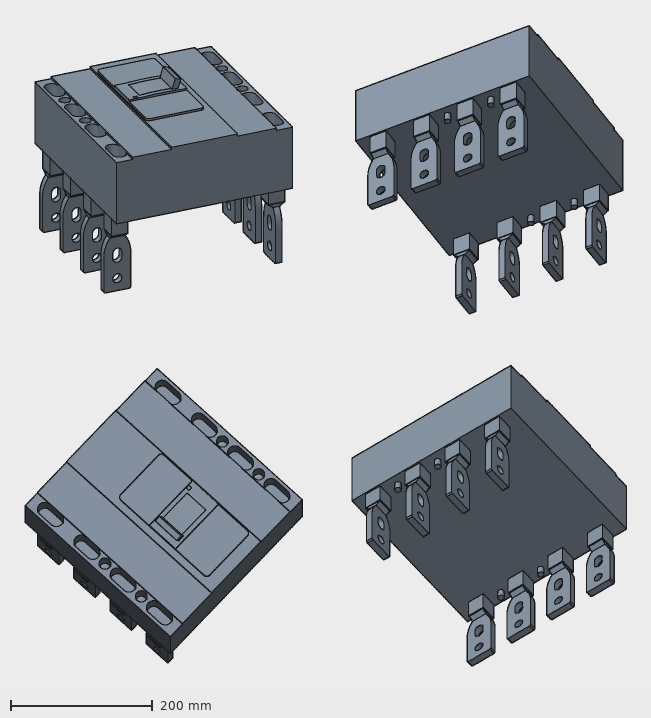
import cadquery as cq
import math


CASE_WIDTH = 280.0
CASE_DEPTH = 273.0
SHOULDER_Z = 96.5
TERRACE_STEP = 3.5
UPPER_TERRACE_DEPTH = 102.2
UPPER_TERRACE_Z = SHOULDER_Z + 2 * TERRACE_STEP

POLE_PITCH = 70.0
POLE_COUNT = 4
ROW_Y = 121.5
POLE_XS = [(i - (POLE_COUNT - 1) / 2) * POLE_PITCH for i in range(POLE_COUNT)]
SCREW_POINTS = [(x, y) for x in (-POLE_PITCH, 0.0) for y in (-ROW_Y, ROW_Y)]

WELL_LENGTH = 42.5
WELL_WIDTH = 20.2
WELL_FLOOR_DEPTH = 33.5

LOWER_TERRACE_DEPTH = 2 * ROW_Y - WELL_WIDTH

HEAD_DIAMETER = 16.5
HEAD_HEIGHT = 7.0
HEAD_ROUND = 5.3
SHANK_DIAMETER = 9.2
SCREW_TIP_Z = -13.0
SEAT_DEPTH = 33.5
SCREW_SEAT_Z = SHOULDER_Z - SEAT_DEPTH

PANEL_X = -POLE_PITCH / 2
PANEL_Y = -4.5
PANEL_WIDTH = 172.0
PANEL_DEPTH = 89.5
PANEL_CORNER = 6.0
PANEL_Z = UPPER_TERRACE_Z + TERRACE_STEP
STRIP_WIDTH = 50.5
STRIP_RISE = 2.8
STRIP_Z = PANEL_Z + STRIP_RISE
INDICATOR_SIZE = 5.3
INDICATOR_DEPTH = 0.5
INDICATOR_INSET = 1.0
INDICATOR_Y = -37.5

GUIDE_HALF_DEPTH = 31.5
CROWN_RISE = 1.0
BARREL_WIDTH = 36.0
BARREL_HALF_DEPTH = 30.2
BARREL_LIFT = 0.3

LEVER_TOP_Z = 126.0
LEVER_TOP_Y = 24.5
LEVER_WIDTH = 41.7
LEVER_THICKNESS = 9.0
LEVER_LEAN = 17.5
LEVER_LENGTH = 19.5

BLOCK_WIDTH = 26.0
BLOCK_DEPTH = 25.5
BLOCK_HEIGHT = 30.8
NECK_WIDTH = 23.8
NECK_COLLAR = 1.0
NECK_HEIGHT = 6.0
BLADE_WIDTH = 42.0
BLADE_THICKNESS = 10.0
BLADE_TIP_Z = -122.0
BLADE_SHOULDER_RADIUS = 49.3
BLADE_CHAMFER = 2.0
BLADE_HOLE_DIAMETER = 13.7
HOLE_ABOVE_TIP = 19.5
SLOT_ABOVE_TIP = 56.0
SLOT_LENGTH = 22.5


def box_on(width, depth, z_bottom, z_top, x=0.0, y=0.0):
    """Upright box centred on (x, y) between two heights."""
    return cq.Workplane("XY", origin=(x, y, z_bottom)).rect(width, depth).extrude(z_top - z_bottom)


def make_case_block():
    lower_terrace_z = SHOULDER_Z + TERRACE_STEP
    block = box_on(CASE_WIDTH, CASE_DEPTH, 0, SHOULDER_Z)
    wells = (
        cq.Workplane("XY", origin=(0, 0, SHOULDER_Z))
        .pushPoints([(x, y) for x in POLE_XS for y in (-ROW_Y, ROW_Y)])
        .slot2D(WELL_LENGTH, WELL_WIDTH)
        .extrude(-WELL_FLOOR_DEPTH)
    )
    lower_terrace = box_on(CASE_WIDTH, LOWER_TERRACE_DEPTH, SHOULDER_Z, lower_terrace_z)
    upper_terrace = box_on(CASE_WIDTH, UPPER_TERRACE_DEPTH, lower_terrace_z, UPPER_TERRACE_Z)
    return block.cut(wells).union(lower_terrace).union(upper_terrace)


def make_panel():
    panel = box_on(PANEL_WIDTH, PANEL_DEPTH, UPPER_TERRACE_Z, PANEL_Z, PANEL_X, PANEL_Y)
    panel = panel.edges("|Z").fillet(PANEL_CORNER)
    strip = box_on(STRIP_WIDTH, PANEL_DEPTH, UPPER_TERRACE_Z, STRIP_Z, PANEL_X, PANEL_Y)
    indicator_x = PANEL_X + STRIP_WIDTH / 2 - INDICATOR_INSET - INDICATOR_SIZE / 2
    indicator = box_on(
        INDICATOR_SIZE, INDICATOR_SIZE, STRIP_Z - INDICATOR_DEPTH, STRIP_Z, indicator_x, INDICATOR_Y
    )
    return panel.union(strip).cut(indicator)


def make_crown(width, half_depth, lift):
    """Gently arched bar across the strip, highest at Y = 0."""
    crest = CROWN_RISE + lift
    radius = (GUIDE_HALF_DEPTH**2 + CROWN_RISE**2) / (2 * CROWN_RISE)
    end_z = crest - radius + math.sqrt(radius**2 - half_depth**2)
    side = (
        cq.Workplane("YZ", origin=(PANEL_X - width / 2, 0, STRIP_Z))
        .moveTo(-half_depth, -STRIP_RISE)
        .lineTo(-half_depth, end_z)
        .threePointArc((0, crest), (half_depth, end_z))
        .lineTo(half_depth, -STRIP_RISE)
        .close()
    )
    return side.extrude(width)


def make_lever():
    lever = (
        cq.Workplane("XY")
        .box(LEVER_WIDTH, LEVER_THICKNESS, LEVER_LENGTH, centered=(True, False, False))
        .translate((PANEL_X, 0, -LEVER_LENGTH))
        .rotate((0, 0, 0), (1, 0, 0), -LEVER_LEAN)
    )
    return lever.translate((0, LEVER_TOP_Y, LEVER_TOP_Z))


def make_blade(top_z):
    """Contact blade lying in the XZ plane, rounded up to the neck and pierced twice."""
    half = BLADE_WIDTH / 2
    neck_half = NECK_WIDTH / 2
    radius = BLADE_SHOULDER_RADIUS
    arc_centre_x = half - radius
    arc_height = math.sqrt(radius**2 - (neck_half - arc_centre_x) ** 2)
    arc_start_z = top_z - arc_height
    mid_angle = math.asin(arc_height / radius) / 2
    mid_x = arc_centre_x + radius * math.cos(mid_angle)
    mid_z = arc_start_z + radius * math.sin(mid_angle)
    blade = (
        cq.Workplane("XZ", origin=(0, BLADE_THICKNESS / 2, 0))
        .moveTo(half - BLADE_CHAMFER, BLADE_TIP_Z)
        .lineTo(half, BLADE_TIP_Z + BLADE_CHAMFER)
        .lineTo(half, arc_start_z)
        .threePointArc((mid_x, mid_z), (neck_half, top_z))
        .lineTo(-neck_half, top_z)
        .threePointArc((-mid_x, mid_z), (-half, arc_start_z))
        .lineTo(-half, BLADE_TIP_Z + BLADE_CHAMFER)
        .lineTo(-half + BLADE_CHAMFER, BLADE_TIP_Z)
        .close()
        .extrude(BLADE_THICKNESS)
    )
    piercing = cq.Workplane("XZ", origin=(0, BLADE_THICKNESS / 2, BLADE_TIP_Z))
    round_hole = piercing.center(0, HOLE_ABOVE_TIP).circle(BLADE_HOLE_DIAMETER / 2).extrude(BLADE_THICKNESS)
    slot = (
        cq.Workplane("XZ", origin=(0, BLADE_THICKNESS / 2, BLADE_TIP_Z + SLOT_ABOVE_TIP))
        .slot2D(SLOT_LENGTH, BLADE_HOLE_DIAMETER, 90)
        .extrude(BLADE_THICKNESS)
    )
    return blade.cut(round_hole).cut(slot)


def make_plug():
    """Tapered neck and blade, with the blade's flat sides facing along Y."""
    neck_top_z = -BLOCK_HEIGHT
    collar_z = neck_top_z - NECK_COLLAR
    neck_bottom_z = neck_top_z - NECK_HEIGHT
    neck = (
        cq.Workplane("YZ", origin=(-NECK_WIDTH / 2, 0, 0))
        .polyline(
            [
                (-NECK_WIDTH / 2, neck_top_z),
                (-NECK_WIDTH / 2, collar_z),
                (-BLADE_THICKNESS / 2, neck_bottom_z),
                (BLADE_THICKNESS / 2, neck_bottom_z),
                (NECK_WIDTH / 2, collar_z),
                (NECK_WIDTH / 2, neck_top_z),
            ]
        )
        .close()
        .extrude(NECK_WIDTH)
    )
    return neck.union(make_blade(neck_bottom_z))


def make_terminal(turn):
    """Terminal below the case; its blade is turned about Z by the given angle."""
    block = box_on(BLOCK_WIDTH, BLOCK_DEPTH, -BLOCK_HEIGHT, 0)
    return block.union(make_plug().rotate((0, 0, 0), (0, 0, 1), turn))


def make_screw():
    """Round-headed screw seated at the bottom of its counterbore."""
    head = cq.Workplane("XY", origin=(0, 0, SCREW_SEAT_Z)).circle(HEAD_DIAMETER / 2).extrude(HEAD_HEIGHT)
    head = head.faces(">Z").edges().fillet(HEAD_ROUND)
    shank = (
        cq.Workplane("XY", origin=(0, 0, SCREW_TIP_Z))
        .circle(SHANK_DIAMETER / 2)
        .extrude(SCREW_SEAT_Z - SCREW_TIP_Z)
    )
    return head.union(shank)


def cut_screw_holes(case):
    """Through holes for the shanks, counterbored from the shoulders for the heads."""
    shank_holes = (
        cq.Workplane("XY").pushPoints(SCREW_POINTS).circle(SHANK_DIAMETER / 2).extrude(SCREW_SEAT_Z)
    )
    head_holes = (
        cq.Workplane("XY", origin=(0, 0, SCREW_SEAT_Z))
        .pushPoints(SCREW_POINTS)
        .circle(HEAD_DIAMETER / 2)
        .extrude(SEAT_DEPTH)
    )
    return case.cut(shank_holes).cut(head_holes)


def make_breaker():
    breaker = cut_screw_holes(make_case_block())
    breaker = breaker.union(make_panel())
    breaker = breaker.union(make_crown(STRIP_WIDTH, GUIDE_HALF_DEPTH, 0))
    breaker = breaker.union(make_crown(BARREL_WIDTH, BARREL_HALF_DEPTH, BARREL_LIFT))
    breaker = breaker.union(make_lever())
    front_terminal = make_terminal(90)
    rear_terminal = make_terminal(0)
    for x in POLE_XS:
        breaker = breaker.union(front_terminal.translate((x, -ROW_Y, 0)))
        breaker = breaker.union(rear_terminal.translate((x, ROW_Y, 0)))
    return breaker


breaker = make_breaker()
screws = [make_screw().translate((x, y, 0)) for x, y in SCREW_POINTS]

result = cq.Compound.makeCompound([breaker.val(), *[screw.val() for screw in screws]])